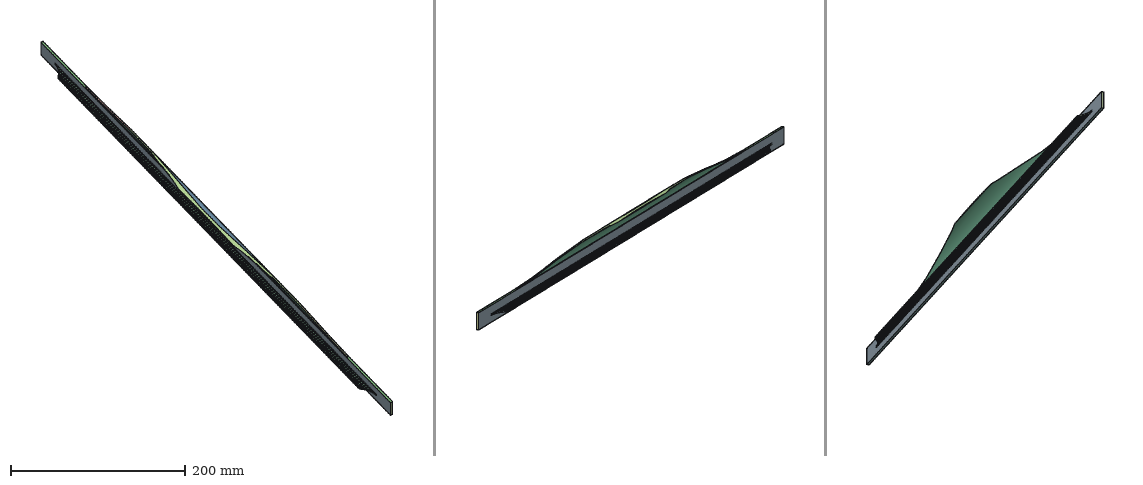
import cadquery as cq
import math

length = 695.0
strip_height = 21.0
wall = 3.0

total_height = 40.0
total_depth = 17.0
curl_thickness = 2.0
curl_radius = 20.0
crown_radius = 1180.0
foot_radius = 620.0

rib_depth = 13.0
rib_thickness = 2.0
rib_mid_height = 9.5
rib_end_inset = 38.0
rib_end_angle = 45.0
rib_end_radius = 24.0

slot_pitch = 4.0
slot_width = 2.0
slot_rim = 1.0


def make_strip():
    strip = cq.Workplane("XY").box(length, wall, strip_height, centered=(True, False, False))
    return strip.translate((0, -wall, 0))


def curl_point(radius, offset):
    """(y, z) on a curl arc, at the given offset behind the curl axis."""
    return offset - curl_radius, strip_height + math.sqrt(radius**2 - offset**2)


def make_curl():
    """Curled wall, tangent to the strip and cut off upright at the full depth."""
    inner_radius = curl_radius - curl_thickness
    tip_offset = curl_radius - total_depth
    middle_offset = inner_radius * math.cos(math.pi / 4)
    return (
        cq.Workplane("YZ")
        .moveTo(0, strip_height)
        .threePointArc(curl_point(curl_radius, middle_offset), curl_point(curl_radius, tip_offset))
        .lineTo(*curl_point(inner_radius, tip_offset))
        .threePointArc(curl_point(inner_radius, middle_offset), (-curl_thickness, strip_height))
        .close()
        .extrude(length / 2, both=True)
    )


def make_hump():
    """Front outline of the crest: a crown arc joined tangentially to two foot arcs."""
    rise = total_height - strip_height
    centre_distance = crown_radius + foot_radius
    half_angle = math.acos(1 - rise / centre_distance)
    foot_end = centre_distance * math.sin(half_angle)

    joint_x = crown_radius * math.sin(half_angle)
    joint_z = total_height - crown_radius * (1 - math.cos(half_angle))
    foot_mid_x = foot_end - foot_radius * math.sin(half_angle / 2)
    foot_mid_z = strip_height + foot_radius * (1 - math.cos(half_angle / 2))
    return (
        cq.Workplane("XZ")
        .moveTo(-foot_end, strip_height)
        .threePointArc((-foot_mid_x, foot_mid_z), (-joint_x, joint_z))
        .threePointArc((0, total_height), (joint_x, joint_z))
        .threePointArc((foot_mid_x, foot_mid_z), (foot_end, strip_height))
        .close()
        .extrude(total_depth)
    )


def make_rib():
    slope = math.radians(rib_end_angle)
    corner_x = length / 2 - rib_end_inset
    blend_length = rib_end_radius * math.tan(slope / 2)
    blend_start_x = corner_x + blend_length
    blend_mid_x = blend_start_x - rib_end_radius * math.sin(slope / 2)
    blend_mid_y = -wall - rib_end_radius * (1 - math.cos(slope / 2))
    slope_start_x = corner_x - blend_length * math.cos(slope)
    slope_start_y = -wall - blend_length * math.sin(slope)
    tip_x = corner_x - (rib_depth - wall) / math.tan(slope)
    return (
        cq.Workplane("XY")
        .workplane(offset=rib_mid_height - rib_thickness / 2)
        .moveTo(-blend_start_x, -wall)
        .threePointArc((-blend_mid_x, blend_mid_y), (-slope_start_x, slope_start_y))
        .lineTo(-tip_x, -rib_depth)
        .lineTo(tip_x, -rib_depth)
        .lineTo(slope_start_x, slope_start_y)
        .threePointArc((blend_mid_x, blend_mid_y), (blend_start_x, -wall))
        .close()
        .extrude(rib_thickness)
    )


def cut_slots(rib):
    """Open the rib right through, from the strip to a thin rim that follows its outline."""
    rib_length = length - 2 * rib_end_inset
    slot_count = 2 * int(rib_length / slot_pitch / 2) + 1
    slots = (
        cq.Workplane("XY")
        .rarray(slot_pitch, 1, slot_count, 1)
        .rect(slot_width, 2 * rib_depth)
        .extrude(strip_height)
    )
    return rib.cut(slots.intersect(rib.translate((0, slot_rim, 0))))


crest = make_curl().intersect(make_hump())
result = make_strip().union(crest).union(cut_slots(make_rib()))